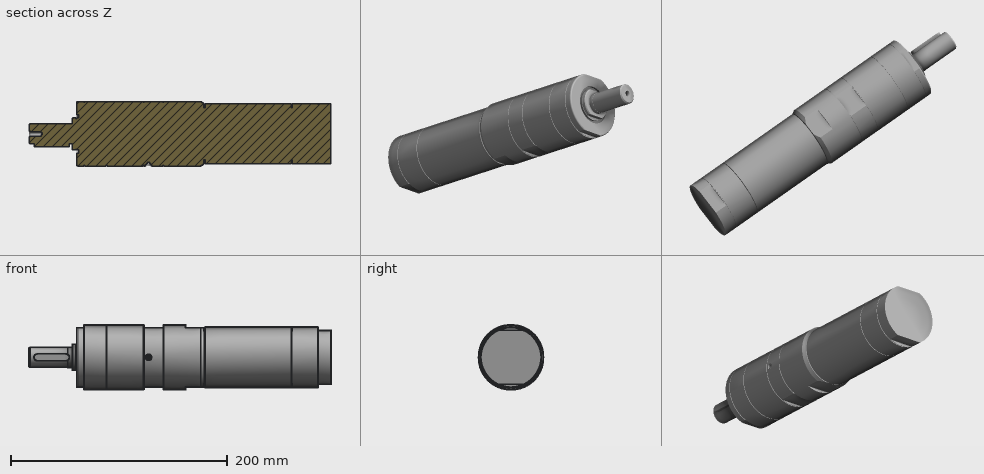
import cadquery as cq
import math


shaft_tip_diameter = 18.7
shaft_seat_diameter = 19.0
shaft_tip_length = 35.7
shaft_chamfer = 1.0
center_hole_diameter = 3.5
center_hole_depth = 11.1
drill_tip_angle = 118
countersink_diameter = 5.5
countersink_angle = 60

key_start = 4.7
key_length = 32.5
key_width = 6.0
key_top = 12.0

collar_start = 39.9
collar_diameter = 29.8
collar_across_flats = 24.2
collar_chamfer = 0.8

gearbox_start = 44.0
gearbox_end = 161.6
gearbox_diameter = 60.0
gearbox_across_flats = 55.0
recess_diameter = 35.0
recess_floor = gearbox_start + 2.0
front_flats_end = 50.7
middle_flats_start = 106.2
middle_flats_end = 123.7
rear_flats_start = 144.6
front_fillet = 1.5
rear_chamfer_length = 3.3

neck_length = 0.8
neck_diameter = 48.5
motor_start = gearbox_end + neck_length
motor_end = 278.7
motor_diameter = 56.0
motor_flats_start = 267.0
motor_across_flats = 50.0

groove_width = 0.5
groove_depth = 0.5
gearbox_joints = [front_flats_end, 71.3, middle_flats_start - groove_width, middle_flats_end]
motor_groove_start = 242.0
motor_groove_diameter = 48.2
rear_groove_start = motor_flats_start - groove_width

screw_x = 110.5
screw_bores = [(5.5, 1.0), (3.5, 2.2), (1.55, 3.5)]


def cylinder(start, end, diameter):
    """Cylinder on the X axis from start to end."""
    return cq.Workplane("YZ").workplane(offset=start).circle(diameter / 2).extrude(end - start)


def cut_flats(body, start, end, across_flats):
    """Cut a pair of flats, facing +Z and -Z, between two places along X."""
    length = end - start
    cutter_height = gearbox_diameter
    for side in (1, -1):
        cutter = cq.Workplane("XY").box(length, 2 * gearbox_diameter, cutter_height)
        center_z = side * (across_flats + cutter_height) / 2
        body = body.cut(cutter.translate(((start + end) / 2, 0, center_z)))
    return body


def cut_ring_groove(body, start, floor_diameter):
    """Cut a narrow ring groove into a round body."""
    ring = cylinder(start, start + groove_width, 2 * gearbox_diameter)
    core = cylinder(start, start + groove_width, floor_diameter)
    return body.cut(ring.cut(core))


def make_shaft():
    tip = cylinder(0, shaft_tip_length, shaft_tip_diameter).faces("<X").chamfer(shaft_chamfer)
    shaft = tip.union(cylinder(shaft_tip_length, recess_floor, shaft_seat_diameter))
    key = (
        cq.Workplane("XZ")
        .center(key_start + key_length / 2, 0)
        .slot2D(key_length, key_width)
        .extrude(key_top)
    )
    return shaft.union(key).cut(make_center_hole())


def make_center_hole():
    """Countersunk hole with a conical drill tip, to be cut into the end of the shaft."""
    hole_radius = center_hole_diameter / 2
    countersink_radius = countersink_diameter / 2
    countersink_slope = math.tan(math.radians(countersink_angle / 2))
    countersink_depth = (countersink_radius - hole_radius) / countersink_slope
    tip_depth = hole_radius / math.tan(math.radians(drill_tip_angle / 2))
    return (
        cq.Workplane("XY")
        .lineTo(0, countersink_radius)
        .lineTo(countersink_depth, hole_radius)
        .lineTo(center_hole_depth, hole_radius)
        .lineTo(center_hole_depth + tip_depth, 0)
        .close()
        .revolve(360, (0, 0, 0), (1, 0, 0))
    )


def make_collar():
    collar = cylinder(collar_start, gearbox_start, collar_diameter).faces("<X").chamfer(collar_chamfer)
    collar = cut_flats(collar, collar_start, gearbox_start, collar_across_flats)
    collar = collar.union(cylinder(gearbox_start, recess_floor, collar_diameter))
    groove_start = gearbox_start - groove_width
    return cut_ring_groove(collar, groove_start, collar_diameter - 2 * groove_depth)


def make_gearbox():
    body = cylinder(gearbox_start, gearbox_end, gearbox_diameter)
    body = body.faces("<X").edges().fillet(front_fillet)
    rear_chamfer_drop = (gearbox_diameter - motor_diameter) / 2
    body = body.faces(">X").chamfer(rear_chamfer_length, rear_chamfer_drop)
    for start, end in (
        (gearbox_start, front_flats_end),
        (middle_flats_start, middle_flats_end),
        (rear_flats_start, gearbox_end),
    ):
        body = cut_flats(body, start, end, gearbox_across_flats)
    for joint in gearbox_joints:
        body = cut_ring_groove(body, joint, gearbox_diameter - 2 * groove_depth)
    body = body.cut(cylinder(gearbox_start, recess_floor, recess_diameter))
    return cut_screw_hole(body)


def cut_screw_hole(body):
    surface_y = -gearbox_diameter / 2
    for diameter, depth in screw_bores:
        bore = (
            cq.Workplane("XZ", origin=(screw_x, surface_y + depth, 0))
            .circle(diameter / 2)
            .extrude(2 * depth)
        )
        body = body.cut(bore)
    return body


def make_motor():
    body = cylinder(motor_start, motor_end, motor_diameter)
    body = cut_flats(body, motor_flats_start, motor_end, motor_across_flats)
    body = cut_ring_groove(body, motor_groove_start, motor_groove_diameter)
    body = cut_ring_groove(body, rear_groove_start, motor_diameter - 2 * groove_depth)
    return body.union(cylinder(gearbox_end, motor_start, neck_diameter))


result = make_gearbox().union(make_collar()).union(make_shaft()).union(make_motor())